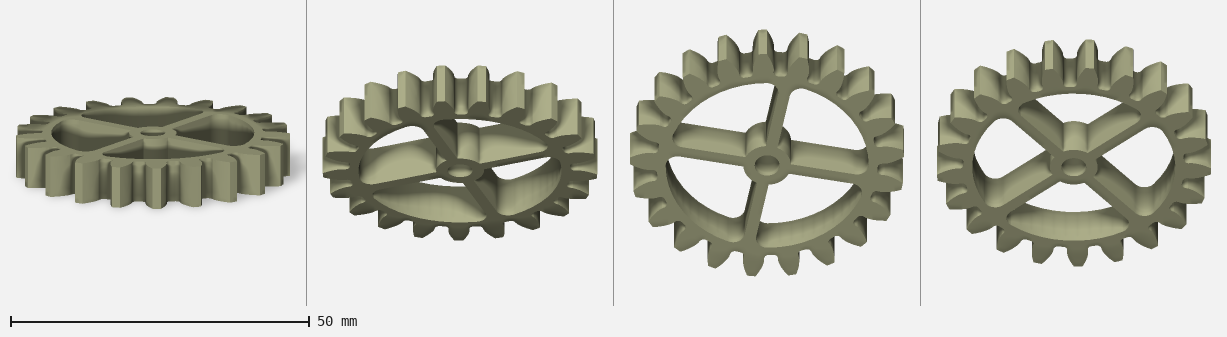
import cadquery as cq
import math

tooth_count = 21
tip_diameter = 46.0
thickness = 7.0
pressure_angle = math.radians(20)
dedendum_factor = 1.25
root_fillet_factor = 0.38
flank_point_count = 8

bore_diameter = 4.2
hub_diameter = 8.0
rim_inner_diameter = 34.0
spoke_count = 4
spoke_width = 1.98
window_fillet = 1.98

module = tip_diameter / (tooth_count + 2)
pitch_radius = module * tooth_count / 2
base_radius = pitch_radius * math.cos(pressure_angle)
tip_radius = tip_diameter / 2
root_radius = pitch_radius - dedendum_factor * module
tooth_overlap = module / 4
tooth_pitch_angle = 2 * math.pi / tooth_count


def polar(radius, angle):
    return (radius * math.cos(angle), radius * math.sin(angle))


def axis_distance(edge):
    return math.hypot(edge.Center().x, edge.Center().y)


def involute(angle):
    return math.tan(angle) - angle


def half_tooth_angle(radius):
    """Angle from the tooth centreline to its involute flank at a radius."""
    local_angle = math.acos(min(1, base_radius / radius))
    return tooth_pitch_angle / 4 + involute(pressure_angle) - involute(local_angle)


def flank_points(side):
    """Points on one flank from the base circle to the tip; side is +1 or -1."""
    points = []
    for i in range(flank_point_count + 1):
        radius = base_radius + (tip_radius - base_radius) * i / flank_point_count
        points.append(polar(radius, side * half_tooth_angle(radius)))
    return points


def make_tooth():
    """One tooth, with radial sides that run below the base circle into the root disc."""
    foot_radius = root_radius - tooth_overlap
    foot_angle = half_tooth_angle(base_radius)
    lower_flank = flank_points(-1)
    upper_flank = flank_points(1)[::-1]
    return (
        cq.Workplane("XY")
        .moveTo(*polar(foot_radius, -foot_angle))
        .lineTo(*lower_flank[0])
        .spline(lower_flank[1:], includeCurrent=True)
        .threePointArc((tip_radius, 0), upper_flank[0])
        .spline(upper_flank[1:], includeCurrent=True)
        .lineTo(*polar(foot_radius, foot_angle))
        .close()
        .extrude(thickness)
    )


def make_toothed_disc():
    disc = cq.Workplane("XY").circle(root_radius).extrude(thickness)
    tooth = make_tooth()
    for i in range(tooth_count):
        disc = disc.union(tooth.rotate((0, 0, 0), (0, 0, 1), math.degrees(i * tooth_pitch_angle)))
    mid_root_radius = (root_radius + base_radius) / 2
    root_edges = disc.edges("|Z").filter(lambda edge: axis_distance(edge) < mid_root_radius)
    return disc.newObject(root_edges.vals()).fillet(root_fillet_factor * module)


def make_window():
    """Opening between two spokes, rounded only where the spokes meet the rim."""
    rim_radius = rim_inner_diameter / 2
    spoke_side = spoke_width / 2
    quadrant = (
        cq.Workplane("XY")
        .rect(rim_radius, rim_radius, centered=False)
        .extrude(thickness)
        .translate((spoke_side, spoke_side, 0))
    )
    rim_opening = cq.Workplane("XY").circle(rim_radius).extrude(thickness)
    hub = cq.Workplane("XY").circle(hub_diameter / 2).extrude(thickness)
    window = quadrant.intersect(rim_opening)
    outer_corners = window.edges("|Z").filter(lambda edge: axis_distance(edge) > hub_diameter / 2)
    return window.newObject(outer_corners.vals()).fillet(window_fillet).cut(hub)


result = make_toothed_disc()
window = make_window()
for i in range(spoke_count):
    result = result.cut(window.rotate((0, 0, 0), (0, 0, 1), 360 / spoke_count * i))
bore = cq.Workplane("XY").circle(bore_diameter / 2).extrude(thickness)
result = result.cut(bore)